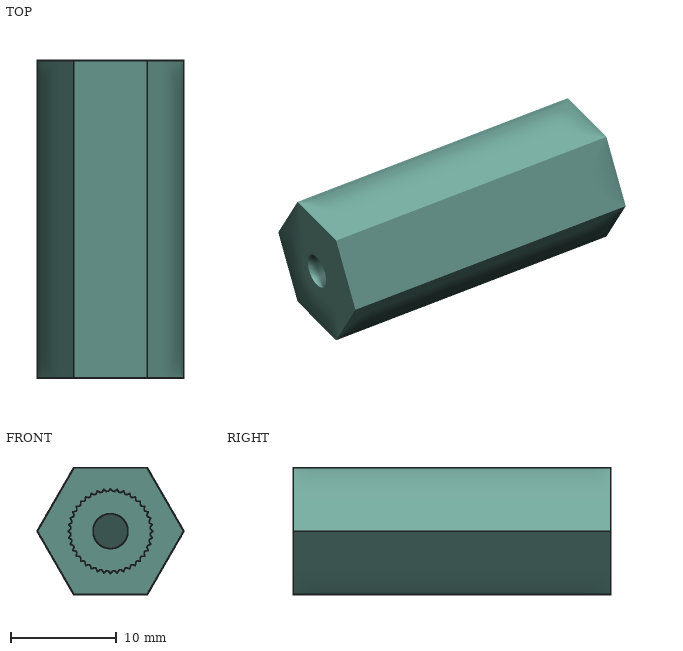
import cadquery as cq
import math

spacer_length = 30.0
across_flats = 12.0
across_corners = across_flats / math.cos(math.pi / 6)

insert_length = 10.0
core_diameter = 7.5
bore_diameter = 3.3

tooth_count = 40
tip_diameter = 8.0
root_diameter = 7.53
tooth_base_share = 0.7

end_directions = (-1, 1)


def end_plane(direction):
    """Plane on an end face of the spacer, with its normal pointing into the spacer."""
    return cq.Plane(
        origin=(0, direction * spacer_length / 2, 0),
        xDir=(1, 0, 0),
        normal=(0, -direction, 0),
    )


def polar_point(diameter, angle):
    """Point at an angle on a circle about the long axis."""
    return (diameter / 2 * math.cos(angle), diameter / 2 * math.sin(angle))


def knurl_outline():
    """Closed outline of the teeth, each a triangle with a narrow flat before the next one."""
    pitch = 2 * math.pi / tooth_count
    half_base = tooth_base_share * pitch / 2
    points = []
    for tooth in range(tooth_count):
        middle = tooth * pitch
        points.append(polar_point(root_diameter, middle - half_base))
        points.append(polar_point(tip_diameter, middle))
        points.append(polar_point(root_diameter, middle + half_base))
    return points


def make_knurled_prism(direction):
    """Toothed prism from an end face down to the inner end of the insert."""
    return (
        cq.Workplane(end_plane(direction))
        .polyline(knurl_outline())
        .close()
        .extrude(insert_length)
    )


def make_cylinder(direction, diameter):
    """Cylinder from an end face down to the inner end of the insert."""
    return cq.Workplane(end_plane(direction)).circle(diameter / 2).extrude(insert_length)


def make_insert(direction):
    """Core with a knurl around it and a bore right through, flush with the end of the spacer."""
    core = make_cylinder(direction, core_diameter)
    bore = make_cylinder(direction, bore_diameter)
    return core.union(make_knurled_prism(direction), clean=False).cut(bore, clean=False)


def make_spacer():
    """Hexagonal bar with a toothed pocket in each end, solid between the pockets."""
    bar = cq.Workplane("XZ").polygon(6, across_corners).extrude(spacer_length / 2, both=True)
    for direction in end_directions:
        bar = bar.cut(make_knurled_prism(direction))
    return bar


spacer = make_spacer()
inserts = [make_insert(direction) for direction in end_directions]

result = cq.Compound.makeCompound([spacer.val(), *[insert.val() for insert in inserts]])